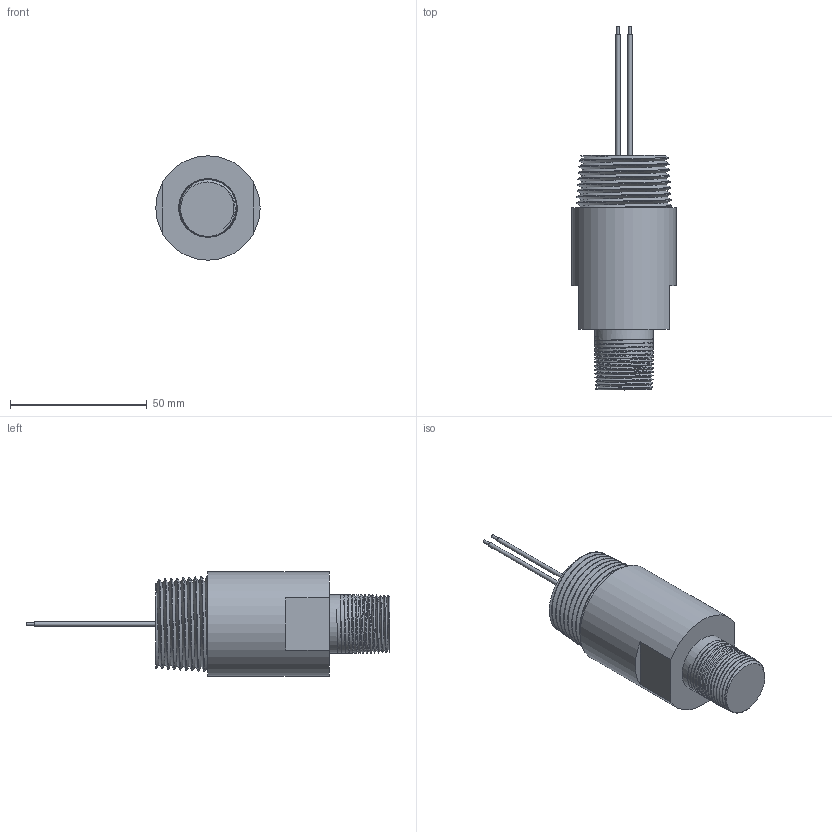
import cadquery as cq
import math


inch = 25.4

body_diameter = 38.1
body_length = 1.75 * inch
flat_length = 0.625 * inch
across_flats = 33.0

taper_slope = 1 / 16

rear_length = 0.75 * inch
rear_pitch = inch / 11.5
rear_end_radius = 16.3
rear_groove_depth = 1.75
rear_crest_flat = 0.2
rear_start_angle = 60

nose_diameter = 21.34
nose_length = 0.875 * inch
nose_pitch = inch / 18
nose_taper_length = 4.6
nose_groove_depth = 0.93
nose_crest_flat = 0.1
nose_start_angle = -80

overall_length = 133.1
wire_total_length = overall_length - nose_length - body_length - rear_length
bare_length = 3.0
insulation_diameter = 1.52
conductor_diameter = 1.02
wire_spacing = 4.4

lead_in_turns = 1
overshoot = 1.5
seam_offset = 215


def tapered_blank(end_radius, length):
    """Cone frustum with its small end at the origin, widening along +Z."""
    end_face = cq.Workplane("XY").circle(end_radius)
    return end_face.workplane(offset=length).circle(end_radius + taper_slope * length).loft()


def helical_groove(end_radius, depth, pitch, crest_flat, length):
    """Cutter for a right-hand V groove whose root lies on a cone widening along +Z."""
    lead_in = lead_in_turns * pitch
    turns_length = length + lead_in
    root_radius = end_radius - depth - taper_slope * lead_in
    half_width = (pitch - crest_flat) / 2
    taper_angle = math.atan(taper_slope)
    slant_scale = 1 / math.cos(taper_angle)
    helix = cq.Wire.makeHelix(
        pitch * slant_scale,
        turns_length * slant_scale,
        root_radius,
        angle=math.degrees(taper_angle),
    )
    profile = cq.Workplane("XZ").polyline([
        (root_radius, 0),
        (root_radius + depth, half_width),
        (root_radius + depth + overshoot, half_width),
        (root_radius + depth + overshoot, -half_width),
        (root_radius + depth, -half_width),
    ]).close()
    cutter = profile.sweep(cq.Workplane(helix), isFrenet=True)
    root_angle_at_end = lead_in_turns * 360
    return cutter.translate((0, 0, -lead_in)).rotate((0, 0, 0), (0, 0, 1), -root_angle_at_end)


def cut_thread(blank, groove, start_angle):
    """Cut the groove and turn the thread so its root meets the end face at start_angle.

    The groove is turned clear of the seam line of the blank while it is cut.
    """
    thread = blank.cut(groove.rotate((0, 0, 0), (0, 0, 1), seam_offset))
    return thread.rotate((0, 0, 0), (0, 0, 1), start_angle - seam_offset)


def make_body():
    """Cylinder with two opposite wrench flats at the nose end, which sits at the origin."""
    body = cq.Workplane("XY").circle(body_diameter / 2).extrude(body_length)
    flatted_zone = cq.Workplane("XY").rect(across_flats, body_diameter).extrude(flat_length)
    full_zone = cq.Workplane("XY", origin=(0, 0, flat_length))
    full_zone = full_zone.rect(body_diameter, body_diameter).extrude(body_length - flat_length)
    return body.intersect(flatted_zone.union(full_zone))


def make_rear_thread():
    """Tapered thread on top of the body, with its small end at the wires."""
    blank = tapered_blank(rear_end_radius, rear_length)
    groove = helical_groove(
        rear_end_radius,
        rear_groove_depth,
        rear_pitch,
        rear_crest_flat,
        rear_length + rear_pitch,
    )
    thread = cut_thread(blank, groove, rear_start_angle).rotate((0, 0, 0), (1, 0, 0), 180)
    return thread.translate((0, 0, body_length + rear_length))


def make_nose():
    """Cylinder below the body with a tapered thread that fades out before the body."""
    nose_radius = nose_diameter / 2
    end_radius = nose_radius - taper_slope * nose_taper_length
    cylinder = cq.Workplane("XY").circle(nose_radius).extrude(nose_length)
    runout_length = nose_taper_length + nose_groove_depth / taper_slope
    groove = helical_groove(
        end_radius,
        nose_groove_depth,
        nose_pitch,
        nose_crest_flat,
        runout_length,
    )
    thread = cut_thread(cylinder, groove, nose_start_angle)
    thread = thread.intersect(tapered_blank(end_radius, nose_length))
    return thread.translate((0, 0, -nose_length))


def make_wire(x):
    """Insulated lead wire with a bare conductor tip."""
    base = cq.Workplane("XY", origin=(x, 0, body_length + rear_length))
    insulation = base.circle(insulation_diameter / 2).extrude(wire_total_length - bare_length)
    conductor = base.circle(conductor_diameter / 2).extrude(wire_total_length)
    return insulation.union(conductor)


part = make_body().union(make_rear_thread()).union(make_nose())
for side in (-1, 1):
    part = part.union(make_wire(side * wire_spacing / 2))

result = part.rotate((0, 0, 0), (1, 0, 0), -90)